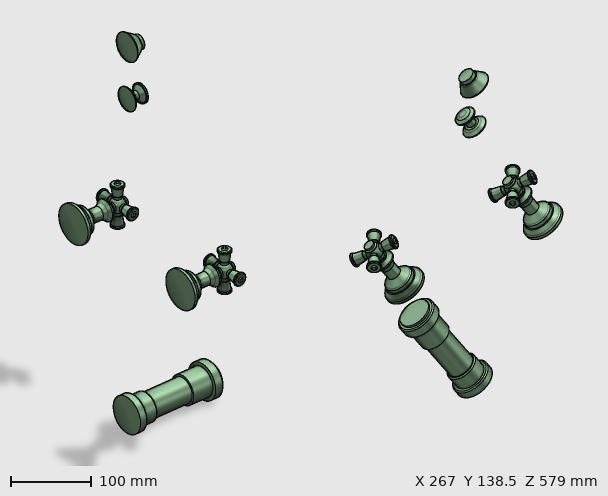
import cadquery as cq


handle_spacing = 203.0
spout_drop = 229.0
lower_knob_rise = spout_drop
upper_knob_rise = 304.0

spout_flange_radius = 26.0
spout_collar_radius = 21.0
spout_tube_radius = 18.0
spout_base_flange_end = 11.5
spout_base_collar_end = 32.5
spout_nose_collar_start = 91.0
spout_nose_flange_start = 122.0
spout_nose_flange_end = 135.5
spout_length = 138.5
spout_edge_chamfer = 2.0

rosette_radius = 28.0
rosette_rim_height = 4.0
rosette_land_radius = 26.0
rosette_land_height = 6.5
rosette_shoulder_radius = 21.5
rosette_step_height = 11.5
rosette_step_radius = 19.5
rosette_step_end = 18.5
rosette_step_chamfer = 2.0
rosette_cone_end = 26.0
neck_radius = 9.0
neck_end = 41.0
collar_root_radius = 11.5
collar_start = 47.0
collar_radius = 15.0
collar_rim_start = 51.0
collar_rim_end = 53.0
collar_top_radius = 9.0
collar_top_start = 57.5
collar_end = 59.0
stem_radius = 7.0

hub_height = 72.0
hub_radius = 11.0
hub_cap_radius = 7.0
hub_cap_root_radius = 8.5
hub_cap_root_end = 79.5
hub_cap_start = 81.0
hub_cap_end = 84.0
arm_neck_radius = 5.0
arm_neck_end = 14.0
arm_root_radius = 6.5
arm_flange_radius = 9.0
arm_flange_start = 26.5
arm_flange_end = 30.5
arm_flange_chamfer = 1.0
arm_tip_radius = 4.0
arm_tip_face_radius = 2.5
arm_span = 64.0
arm_tip_end = arm_span / 2
arm_count = 4

upper_knob_radius = 20.0
upper_knob_rim = 1.0
upper_knob_cone_radius = 13.5
upper_knob_cone_end = 13.0
upper_knob_lip_radius = 12.0
upper_knob_lip_end = 14.5
upper_knob_stem_radius = 10.5
upper_knob_length = 20.0

lower_knob_radius = 17.0
lower_knob_rim = 1.0
lower_knob_cone_radius = 13.0
lower_knob_cone_end = 5.0
lower_knob_boss_radius = 10.0
lower_knob_boss_end = 7.0
lower_knob_stem_radius = 6.5
lower_knob_stem_end = 15.0
lower_knob_flare_radius = 12.0
lower_knob_flare_end = 21.0
lower_knob_disc_radius = 14.0
lower_knob_disc_end = 23.0
lower_knob_shoulder_radius = 10.0
lower_knob_shoulder_end = 26.0
lower_knob_face_radius = 5.0
lower_knob_length = 27.0


def turned(profile):
    """Solid of revolution about +Y from (radius, height) points, from the wall outwards."""
    outline = [(0, profile[0][1]), *profile, (0, profile[-1][1])]
    return cq.Workplane("XY").polyline(outline).close().revolve(360, (0, 0, 0), (0, 1, 0))


def make_spout():
    cut = spout_edge_chamfer
    return turned([
        (spout_flange_radius, 0),
        (spout_flange_radius, spout_base_flange_end - cut),
        (spout_flange_radius - cut, spout_base_flange_end),
        (spout_collar_radius, spout_base_flange_end),
        (spout_collar_radius, spout_base_collar_end - cut),
        (spout_collar_radius - cut, spout_base_collar_end),
        (spout_tube_radius, spout_base_collar_end),
        (spout_tube_radius, spout_nose_collar_start),
        (spout_collar_radius, spout_nose_collar_start),
        (spout_collar_radius, spout_nose_flange_start),
        (spout_flange_radius, spout_nose_flange_start),
        (spout_flange_radius, spout_nose_flange_end - cut),
        (spout_flange_radius - cut, spout_nose_flange_end),
        (spout_collar_radius, spout_nose_flange_end),
        (spout_collar_radius, spout_length),
    ])


def make_pedestal():
    """Rosette, neck and collar up to the centre of the hub."""
    return turned([
        (rosette_radius, 0),
        (rosette_radius, rosette_rim_height),
        (rosette_land_radius, rosette_land_height),
        (rosette_shoulder_radius, rosette_step_height),
        (rosette_step_radius, rosette_step_height),
        (rosette_step_radius, rosette_step_end - rosette_step_chamfer),
        (rosette_step_radius - rosette_step_chamfer, rosette_step_end),
        (neck_radius, rosette_cone_end),
        (neck_radius, neck_end),
        (collar_root_radius, collar_start),
        (collar_radius, collar_rim_start),
        (collar_radius, collar_rim_end),
        (collar_top_radius, collar_top_start),
        (collar_top_radius, collar_end),
        (stem_radius, collar_end),
        (stem_radius, hub_height),
    ])


def make_arm():
    """Flared arm along +Y, starting at the hub centre."""
    return turned([
        (arm_neck_radius, 0),
        (arm_neck_radius, arm_neck_end),
        (arm_root_radius, arm_neck_end),
        (arm_flange_radius - arm_flange_chamfer, arm_flange_start),
        (arm_flange_radius, arm_flange_start + arm_flange_chamfer),
        (arm_flange_radius, arm_flange_end - arm_flange_chamfer),
        (arm_flange_radius - arm_flange_chamfer, arm_flange_end),
        (arm_tip_radius, arm_flange_end),
        (arm_tip_face_radius, arm_tip_end),
    ])


def make_hub():
    """Ball with a flat cap on its outer side."""
    ball = cq.Workplane("XY").sphere(hub_radius).translate((0, hub_height, 0))
    cap = turned([
        (hub_cap_root_radius, hub_height),
        (hub_cap_root_radius, hub_cap_root_end),
        (hub_cap_radius, hub_cap_start),
        (hub_cap_radius, hub_cap_end),
    ])
    return ball.union(cap)


def make_handle():
    """Pedestal, hub and four arms in the XZ plane as one solid."""
    handle = make_pedestal().union(make_hub())
    upright_arm = make_arm().rotate((0, 0, 0), (1, 0, 0), 90).translate((0, hub_height, 0))
    for index in range(arm_count):
        handle = handle.union(upright_arm.rotate((0, 0, 0), (0, 1, 0), index * 360 / arm_count))
    return handle


def make_upper_knob():
    return turned([
        (upper_knob_radius, 0),
        (upper_knob_radius, upper_knob_rim),
        (upper_knob_cone_radius, upper_knob_cone_end),
        (upper_knob_lip_radius, upper_knob_lip_end),
        (upper_knob_stem_radius, upper_knob_lip_end),
        (upper_knob_stem_radius, upper_knob_length),
    ])


def make_lower_knob():
    return turned([
        (lower_knob_radius, 0),
        (lower_knob_radius, lower_knob_rim),
        (lower_knob_cone_radius, lower_knob_cone_end),
        (lower_knob_boss_radius, lower_knob_boss_end),
        (lower_knob_stem_radius, lower_knob_boss_end),
        (lower_knob_stem_radius, lower_knob_stem_end),
        (lower_knob_flare_radius, lower_knob_flare_end),
        (lower_knob_disc_radius, lower_knob_flare_end),
        (lower_knob_disc_radius, lower_knob_disc_end),
        (lower_knob_shoulder_radius, lower_knob_shoulder_end),
        (lower_knob_face_radius, lower_knob_length),
    ])


spout = make_spout().translate((0, 0, -spout_drop))
lower_knob = make_lower_knob().translate((0, 0, lower_knob_rise))
upper_knob = make_upper_knob().translate((0, 0, upper_knob_rise))

handles = []
for side in (-1, 1):
    handle = make_handle().translate((side * handle_spacing / 2, 0, 0))
    handles.append(handle.val())

result = cq.Compound.makeCompound([spout.val(), *handles, lower_knob.val(), upper_knob.val()])